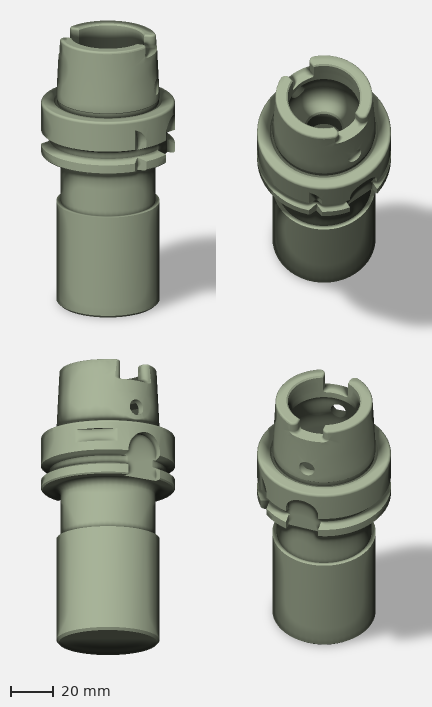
import cadquery as cq
import math

TOTAL_HEIGHT = 132.0
TAPER_LENGTH = 32.0
FLANGE_WIDTH = 26.0
FLANGE_TOP = TOTAL_HEIGHT - TAPER_LENGTH
FLANGE_BOTTOM = FLANGE_TOP - FLANGE_WIDTH

NOSE_RADIUS = 24.3
NOSE_HEIGHT = 50.2
NOSE_CHAMFER = 1.2
NECK_RADIUS = 22.3
NECK_FILLET = 2.9

FLANGE_DIAMETER = 63.0
FLANGE_RADIUS = FLANGE_DIAMETER / 2
FLANGE_TOP_FILLET = 1.2
FLANGE_BOTTOM_EDGE = 0.7
GROOVE_RADIUS = 27.5
GROOVE_CENTER = 82.1
GROOVE_HALF_FLOOR = 1.6
GROOVE_HALF_MOUTH = 3.4

TAPER_BASE_RADIUS = 24.3
TAPER_RATIO = 0.05
RIM_FILLET = 1.0
RELIEF_RADIUS = 23.9
RELIEF_HEIGHT = 2.0
RELIEF_MOUTH_RADIUS = 25.5
RELIEF_DEPTH = 0.7

BORE_RADIUS = 17.0
BORE_MOUTH_CHAMFER = 0.7
BORE_LIP_DEPTH = 12.8
CAVITY_RADIUS = 20.2
CAVITY_LIP_SLOPE = 30.0
CAVITY_FLOOR = 102.2
CAVITY_FLOOR_FILLET = 4.4
CENTER_HOLE_RADIUS = 9.4
CENTER_HOLE_CHAMFER = 0.8
CENTER_HOLE_DEPTH = 10.0
CROSS_HOLE_RADIUS = 3.8
CROSS_HOLE_HEIGHT = 109.0

KEYWAY_HALF_WIDTH = 6.2
KEYWAY_ROUNDING = 2.6
KEYWAY_SHOULDER = 20.9
KEYWAY_FLOOR_FILLET = 1.3
DEEP_KEYWAY = 9.8
SHALLOW_KEYWAY = 6.1

SLOT_FLOOR = 26.5
SLOT_TOP = 95.3
WIDE_SLOT_HALF_WIDTH = 9.0
NARROW_SLOT_HALF_WIDTH = 8.0

NOTCH_CORNER = 19.9
NOTCH_RUNOUT_RADIUS = 8.0
NOTCH_STRAIGHT_TOP = 88.0
FLAT_DIRECTION = 135
FLAT_DISTANCE = 29.8
FLAT_BOTTOM = 89.9
FLAT_HEIGHT = 6.1


def make_body():
    """Turned outside: nose, neck, grooved flange and solid taper."""
    taper_start = FLANGE_TOP + RELIEF_HEIGHT
    relief_step = TAPER_BASE_RADIUS - RELIEF_RADIUS
    top_radius = TAPER_BASE_RADIUS - TAPER_RATIO * (TAPER_LENGTH - RELIEF_HEIGHT)
    profile = (
        cq.Workplane("XZ")
        .lineTo(NOSE_RADIUS - NOSE_CHAMFER, 0)
        .lineTo(NOSE_RADIUS, NOSE_CHAMFER)
        .lineTo(NOSE_RADIUS, NOSE_HEIGHT)
        .lineTo(NECK_RADIUS, NOSE_HEIGHT)
        .lineTo(NECK_RADIUS, FLANGE_BOTTOM - NECK_FILLET)
        .radiusArc((NECK_RADIUS + NECK_FILLET, FLANGE_BOTTOM), NECK_FILLET)
        .lineTo(FLANGE_RADIUS - FLANGE_BOTTOM_EDGE, FLANGE_BOTTOM)
        .lineTo(FLANGE_RADIUS, FLANGE_BOTTOM + FLANGE_BOTTOM_EDGE)
        .lineTo(FLANGE_RADIUS, GROOVE_CENTER - GROOVE_HALF_MOUTH)
        .lineTo(GROOVE_RADIUS, GROOVE_CENTER - GROOVE_HALF_FLOOR)
        .lineTo(GROOVE_RADIUS, GROOVE_CENTER + GROOVE_HALF_FLOOR)
        .lineTo(FLANGE_RADIUS, GROOVE_CENTER + GROOVE_HALF_MOUTH)
        .lineTo(FLANGE_RADIUS, FLANGE_TOP - FLANGE_TOP_FILLET)
        .radiusArc((FLANGE_RADIUS - FLANGE_TOP_FILLET, FLANGE_TOP), -FLANGE_TOP_FILLET)
        .lineTo(RELIEF_MOUTH_RADIUS, FLANGE_TOP)
        .lineTo(RELIEF_MOUTH_RADIUS - RELIEF_DEPTH, FLANGE_TOP - RELIEF_DEPTH)
        .lineTo(RELIEF_RADIUS, FLANGE_TOP - RELIEF_DEPTH)
        .lineTo(RELIEF_RADIUS, taper_start - relief_step)
        .lineTo(TAPER_BASE_RADIUS, taper_start)
        .lineTo(top_radius, TOTAL_HEIGHT)
        .lineTo(0, TOTAL_HEIGHT)
        .close()
    )
    return profile.revolve(360, (0, 0, 0), (0, 1, 0))


def make_cavity():
    """Bore with an undercut behind its lip, a rounded floor edge and a blind centre hole."""
    lip_bottom = TOTAL_HEIGHT - BORE_LIP_DEPTH
    undercut = CAVITY_RADIUS - BORE_RADIUS
    wall_top = lip_bottom - undercut * math.tan(math.radians(CAVITY_LIP_SLOPE))
    hole_bottom = CAVITY_FLOOR - CENTER_HOLE_DEPTH
    hole_radius = CENTER_HOLE_RADIUS - CENTER_HOLE_CHAMFER
    profile = (
        cq.Workplane("XZ")
        .moveTo(0, hole_bottom)
        .lineTo(hole_radius, hole_bottom)
        .lineTo(hole_radius, CAVITY_FLOOR - CENTER_HOLE_CHAMFER)
        .lineTo(CENTER_HOLE_RADIUS, CAVITY_FLOOR)
        .lineTo(CAVITY_RADIUS - CAVITY_FLOOR_FILLET, CAVITY_FLOOR)
        .radiusArc((CAVITY_RADIUS, CAVITY_FLOOR + CAVITY_FLOOR_FILLET), -CAVITY_FLOOR_FILLET)
        .lineTo(CAVITY_RADIUS, wall_top)
        .lineTo(BORE_RADIUS, lip_bottom)
        .lineTo(BORE_RADIUS, TOTAL_HEIGHT - BORE_MOUTH_CHAMFER)
        .lineTo(BORE_RADIUS + 2 * BORE_MOUTH_CHAMFER, TOTAL_HEIGHT + BORE_MOUTH_CHAMFER)
        .lineTo(0, TOTAL_HEIGHT + BORE_MOUTH_CHAMFER)
        .close()
    )
    return profile.revolve(360, (0, 0, 0), (0, 1, 0))


def make_keyway(side, depth):
    """Slot through the rim, flaring round both arm ends out to a flat shoulder."""
    outer = 2 * TAPER_BASE_RADIUS
    arc_start = KEYWAY_SHOULDER - KEYWAY_ROUNDING
    arc_end_y = KEYWAY_HALF_WIDTH + KEYWAY_ROUNDING
    outline = (
        cq.Workplane("XY", origin=(0, 0, TOTAL_HEIGHT - depth))
        .moveTo(0, -KEYWAY_HALF_WIDTH)
        .lineTo(side * arc_start, -KEYWAY_HALF_WIDTH)
        .radiusArc((side * KEYWAY_SHOULDER, -arc_end_y), side * KEYWAY_ROUNDING)
        .lineTo(side * KEYWAY_SHOULDER, -outer)
        .lineTo(side * outer, -outer)
        .lineTo(side * outer, outer)
        .lineTo(side * KEYWAY_SHOULDER, outer)
        .lineTo(side * KEYWAY_SHOULDER, arc_end_y)
        .radiusArc((side * arc_start, KEYWAY_HALF_WIDTH), side * KEYWAY_ROUNDING)
        .lineTo(0, KEYWAY_HALF_WIDTH)
        .close()
    )
    return outline.extrude(TOTAL_HEIGHT).faces("<Z").edges().fillet(KEYWAY_FLOOR_FILLET)


def make_slot(side, half_width):
    """Round-topped drive slot from the slot floor outwards, open at the flange underside."""
    arch_center = SLOT_TOP - half_width
    outline = (
        cq.Workplane("YZ", origin=(side * SLOT_FLOOR, 0, 0))
        .moveTo(-half_width, FLANGE_BOTTOM)
        .lineTo(half_width, FLANGE_BOTTOM)
        .lineTo(half_width, arch_center)
        .threePointArc((0, SLOT_TOP), (-half_width, arch_center))
        .close()
    )
    return outline.extrude(side * FLANGE_RADIUS)


def make_notch():
    """Square corner notch whose floor runs out upwards in an arc."""
    runout_top = NOTCH_STRAIGHT_TOP + NOTCH_RUNOUT_RADIUS
    outline = (
        cq.Workplane("YZ", origin=(NOTCH_CORNER, 0, 0))
        .moveTo(-NOTCH_CORNER, FLANGE_BOTTOM)
        .lineTo(-NOTCH_CORNER, NOTCH_STRAIGHT_TOP)
        .radiusArc((-NOTCH_CORNER - NOTCH_RUNOUT_RADIUS, runout_top), -NOTCH_RUNOUT_RADIUS)
        .lineTo(-FLANGE_RADIUS, runout_top)
        .lineTo(-FLANGE_RADIUS, FLANGE_BOTTOM)
        .close()
    )
    return outline.extrude(FLANGE_RADIUS)


def make_flat():
    """Shallow flat cut into the flange rim, facing the -X +Y direction."""
    return (
        cq.Workplane("XY")
        .box(FLANGE_RADIUS, 2 * FLANGE_RADIUS, FLAT_HEIGHT, centered=(False, True, False))
        .translate((FLAT_DISTANCE, 0, FLAT_BOTTOM))
        .rotate((0, 0, 0), (0, 0, 1), FLAT_DIRECTION)
    )


def make_cross_hole():
    """Hole along X through both walls of the hollow taper."""
    center = cq.Workplane("YZ", origin=(0, 0, CROSS_HOLE_HEIGHT))
    return center.circle(CROSS_HOLE_RADIUS).extrude(FLANGE_RADIUS, both=True)


result = make_body()
result = result.cut(make_keyway(-1, DEEP_KEYWAY))
result = result.cut(make_keyway(1, SHALLOW_KEYWAY))
result = result.faces(">Z").edges().fillet(RIM_FILLET)
result = result.cut(make_cavity())
result = result.cut(make_slot(-1, WIDE_SLOT_HALF_WIDTH))
result = result.cut(make_slot(1, NARROW_SLOT_HALF_WIDTH))
result = result.cut(make_notch()).cut(make_flat()).cut(make_cross_hole())